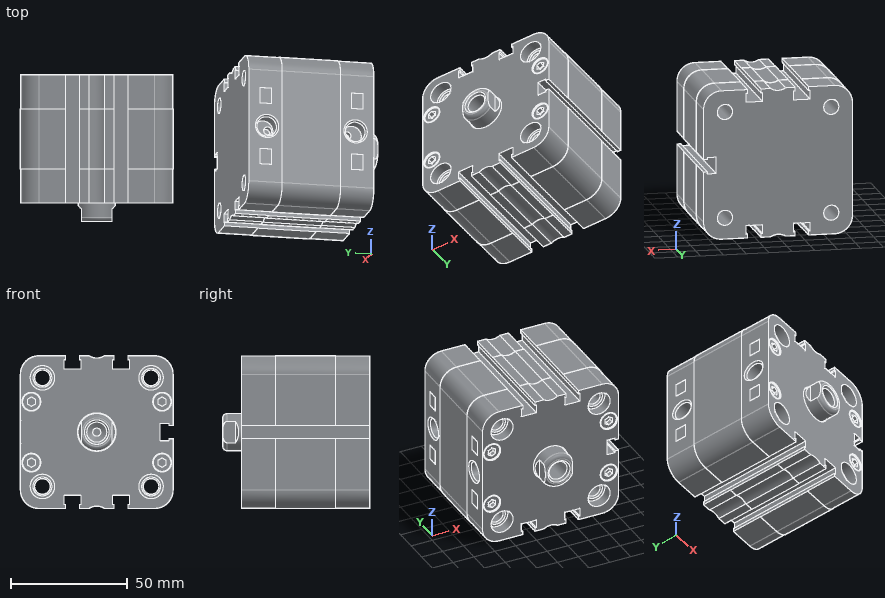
import cadquery as cq
import math

side = 65.5
half = side / 2
body_length = 55.0
corner_radius = 8.0
cap_length = 14.7
cap_inset = 0.1

slot_offset = 10.4
slot_mouth_width = 5.9
side_slot_mouth_width = 5.6
slot_inner_width = 7.2
slot_lip = 1.85
slot_depth = 5.65

valley_diameter = 12.0
valley_depth = 1.0

mount_offset = 23.25
mount_bore_diameter = 10.5
mount_bore_depth = 5.0
mount_thread_diameter = 8.05
mount_hole_diameter = 6.6

screw_x = 28.0
screw_z = 13.05
screw_recess_diameter = 8.05
screw_head_diameter = 7.5
screw_sink = 0.25
screw_gap_depth = 0.5
hex_across_flats = 3.5
hex_depth = 2.6

port_inset = 8.05
port_mouth_diameter = 10.5
port_diameter = 8.6
port_depth = 7.85
pilot_diameter = 3.5
pilot_shift = 2.0
pilot_depth = 3.9

label_inset = 7.4
label_offset = 13.5
label_length = 5.1
label_height = 6.8
label_depth = 0.2

rod_diameter = 16.0
rod_bore_diameter = 16.5
rod_reach = 8.0
rod_insert = cap_length
rod_end_round = 1.9
flat_width = 13.1
flat_start = 2.55
rod_mouth_diameter = 10.5
rod_thread_diameter = 8.6
rod_thread_depth = 11.8
rod_cone_end_diameter = 3.5
rod_cone_half_angle = 60.0


def box(x0, x1, y0, y1, z0, z1):
    """Box between two opposite corners."""
    return cq.Workplane("XY").box(x1 - x0, y1 - y0, z1 - z0, centered=False).translate((x0, y0, z0))


def cylinder_y(diameter, y0, y1, x=0.0, z=0.0):
    """Cylinder along Y from y0 to y1."""
    return cq.Workplane(cq.Solid.makeCylinder(diameter / 2, y1 - y0, cq.Vector(x, y0, z), cq.Vector(0, 1, 0)))


def cone_y(start_diameter, end_diameter, y0, y1, x=0.0, z=0.0):
    """Truncated cone along Y from y0 to y1."""
    return cq.Workplane(
        cq.Solid.makeCone(
            start_diameter / 2, end_diameter / 2, y1 - y0, cq.Vector(x, y0, z), cq.Vector(0, 1, 0)
        )
    )


def t_slot(offset, mouth_width, angle):
    """T-slot through the whole length, cut from the top and turned about Y."""
    mouth_half = mouth_width / 2
    inner_half = slot_inner_width / 2
    floor = half - slot_depth
    mouth = box(offset - mouth_half, offset + mouth_half, 0, body_length, floor, half)
    inner = box(offset - inner_half, offset + inner_half, 0, body_length, floor, half - slot_lip)
    return mouth.union(inner).rotate((0, 0, 0), (0, 1, 0), angle)


def mounting_hole(x, z):
    """Through hole with a deep counterbore and a chamfer at its bottom."""
    chamfer = (mount_thread_diameter - mount_hole_diameter) / 2
    counterbore = cylinder_y(mount_bore_diameter, 0, mount_bore_depth, x, z)
    lead_in = cone_y(
        mount_thread_diameter, mount_hole_diameter, mount_bore_depth, mount_bore_depth + chamfer, x, z
    )
    through = cylinder_y(mount_hole_diameter, 0, body_length, x, z)
    return counterbore.union(lead_in).union(through)


def screw_cut(x, z):
    """Recess that leaves a sunk screw head, with a ring gap around it and a hexagon socket in it."""
    recess = cylinder_y(screw_recess_diameter, 0, screw_gap_depth, x, z).cut(
        cylinder_y(screw_head_diameter, screw_sink, screw_gap_depth, x, z)
    )
    across_corners = hex_across_flats / math.cos(math.pi / 6)
    socket = (
        cq.Workplane("XZ")
        .polygon(6, across_corners)
        .extrude(-hex_depth)
        .rotate((0, 0, 0), (0, 1, 0), 90)
        .translate((x, 0, z))
    )
    return recess.union(socket)


def air_port(y, shift):
    """Chamfered blind port from the -X side, with an offset pilot hole in its floor."""
    chamfer = (port_mouth_diameter - port_diameter) / 2
    inward = cq.Vector(1, 0, 0)
    start = cq.Vector(-half, y, 0)
    bore = cq.Workplane(cq.Solid.makeCylinder(port_diameter / 2, port_depth, start, inward))
    mouth = cq.Workplane(
        cq.Solid.makeCone(port_mouth_diameter / 2, port_diameter / 2, chamfer, start, inward)
    )
    pilot_start = cq.Vector(-half, y + shift, 0)
    pilot = cq.Workplane(
        cq.Solid.makeCylinder(pilot_diameter / 2, port_depth + pilot_depth, pilot_start, inward)
    )
    return bore.union(mouth).union(pilot)


def rounded_block(y0, y1, inset):
    """Rounded square section with the two valleys, set in from the full outline."""
    reach = half - inset
    block = box(-reach, reach, y0, y1, -reach, reach).edges("|Y").fillet(corner_radius - inset)
    valley_axis = reach - valley_depth + valley_diameter / 2
    for z in (-valley_axis, valley_axis):
        block = block.cut(cylinder_y(valley_diameter, y0, y1, 0, z))
    return block


def make_housing():
    rear_cap_start = body_length - cap_length
    front_cap = rounded_block(0, cap_length, cap_inset)
    tube = rounded_block(cap_length, rear_cap_start, 0)
    rear_cap = rounded_block(rear_cap_start, body_length, cap_inset)
    body = front_cap.union(tube).union(rear_cap)

    for angle in (0, 180):
        for offset in (-slot_offset, slot_offset):
            body = body.cut(t_slot(offset, slot_mouth_width, angle))
    body = body.cut(t_slot(0, side_slot_mouth_width, 90))

    for x_sign in (-1, 1):
        for z_sign in (-1, 1):
            body = body.cut(mounting_hole(x_sign * mount_offset, z_sign * mount_offset))
            body = body.cut(screw_cut(x_sign * screw_x, z_sign * screw_z))

    body = body.cut(air_port(port_inset, pilot_shift))
    body = body.cut(air_port(body_length - port_inset, -pilot_shift))

    for y in (label_inset - label_length / 2, body_length - label_inset - label_length / 2):
        for z in (-label_offset, label_offset):
            z0 = z - label_height / 2
            body = body.cut(box(-half, -half + label_depth, y, y + label_length, z0, z0 + label_height))

    return body.cut(cylinder_y(rod_bore_diameter, 0, rod_insert))


def make_rod():
    rod = cylinder_y(rod_diameter, -rod_reach, rod_insert).faces("<Y").edges().fillet(rod_end_round)

    radius = rod_diameter / 2
    flat_x = flat_width / 2
    run_out = radius - flat_x
    flat = (
        cq.Workplane("XY")
        .polyline([
            (flat_x, -rod_reach),
            (flat_x, -flat_start),
            (radius, -flat_start + run_out),
            (radius, -rod_reach),
        ])
        .close()
        .extrude(radius, both=True)
    )
    rod = rod.cut(flat).cut(flat.mirror("YZ"))

    chamfer = (rod_mouth_diameter - rod_thread_diameter) / 2
    thread_end = -rod_reach + rod_thread_depth
    cone_length = (rod_thread_diameter - rod_cone_end_diameter) / 2 / math.tan(math.radians(rod_cone_half_angle))
    rod = rod.cut(cone_y(rod_mouth_diameter, rod_thread_diameter, -rod_reach, -rod_reach + chamfer))
    rod = rod.cut(cylinder_y(rod_thread_diameter, -rod_reach, thread_end))
    return rod.cut(cone_y(rod_thread_diameter, rod_cone_end_diameter, thread_end, thread_end + cone_length))


housing = make_housing()
rod = make_rod()
result = cq.Compound.makeCompound([housing.val(), rod.val()])